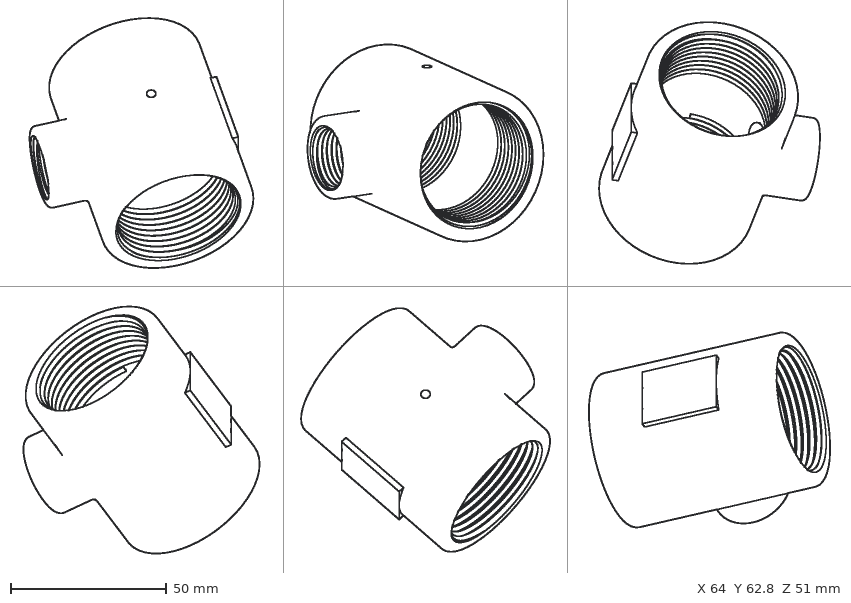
import cadquery as cq

run_length = 64.0
run_diameter = 51.0
run_radius = run_diameter / 2
run_bore = 38.9
run_thread_major = 41.7
run_pitch = 2.3
run_thread_turns = 9

overall_depth = 62.8
branch_reach = overall_depth - run_radius
branch_diameter = 27.0
branch_bore = 18.6
branch_thread_major = 20.9
branch_pitch = 1.8
branch_thread_turns = 8

edge_radius = 1.5

pad_length = 25.85
pad_height = 20.0
button_diameter = 3.0

crest_fraction = 0.05
groove_overlap = 0.05
mouth_clearance = 0.05


def tube_end_threads(bore, major, pitch, turns):
    """Cutters along +Z from an open end at Z = 0: helical V groove and lead-in cone."""
    bore_radius = bore / 2
    major_radius = major / 2
    half_width = pitch * (1 - crest_fraction) / 2
    base_radius = bore_radius - groove_overlap

    lead_in = cq.Workplane(
        cq.Solid.makeCone(major_radius + mouth_clearance, base_radius, pitch)
    )
    groove_profile = (
        cq.Workplane("XZ")
        .moveTo(base_radius, -half_width)
        .lineTo(major_radius, 0)
        .lineTo(base_radius, half_width)
        .close()
    )
    helix = cq.Wire.makeHelix(pitch, pitch * (turns + 1), bore_radius)
    groove = groove_profile.sweep(cq.Workplane(obj=helix), isFrenet=True)
    return groove.translate((0, 0, -pitch)), lead_in


def outer_body():
    run = (
        cq.Workplane("YZ")
        .circle(run_radius)
        .extrude(run_length / 2, both=True)
        .faces("<X or >X").edges().fillet(edge_radius)
    )
    branch = cq.Workplane("XZ").circle(branch_diameter / 2).extrude(branch_reach)
    branch = branch.faces("<Y").edges().fillet(edge_radius)
    root_zone = cq.selectors.BoxSelector(
        (-branch_diameter, -run_radius - edge_radius, -branch_diameter),
        (branch_diameter, -run_radius / 2, branch_diameter),
    )
    body = run.union(branch)
    return body.edges(root_zone).fillet(edge_radius)


def raised_flats():
    pad = cq.Workplane("XZ").rect(pad_length, pad_height).extrude(-run_radius)
    button = cq.Workplane("XY").circle(button_diameter / 2).extrude(run_radius)
    return pad, button


result = outer_body()
for flat in raised_flats():
    result = result.union(flat)

result = result.cut(cq.Workplane("YZ").circle(run_bore / 2).extrude(run_length, both=True))
result = result.cut(cq.Workplane("XZ").circle(branch_bore / 2).extrude(branch_reach))

for side in (-1, 1):
    for cutter in tube_end_threads(run_bore, run_thread_major, run_pitch, run_thread_turns):
        cutter = cutter.rotate((0, 0, 0), (0, 1, 0), -side * 90)
        result = result.cut(cutter.translate((side * run_length / 2, 0, 0)))

for cutter in tube_end_threads(
    branch_bore, branch_thread_major, branch_pitch, branch_thread_turns
):
    cutter = cutter.rotate((0, 0, 0), (1, 0, 0), -90)
    result = result.cut(cutter.translate((0, -branch_reach, 0)))